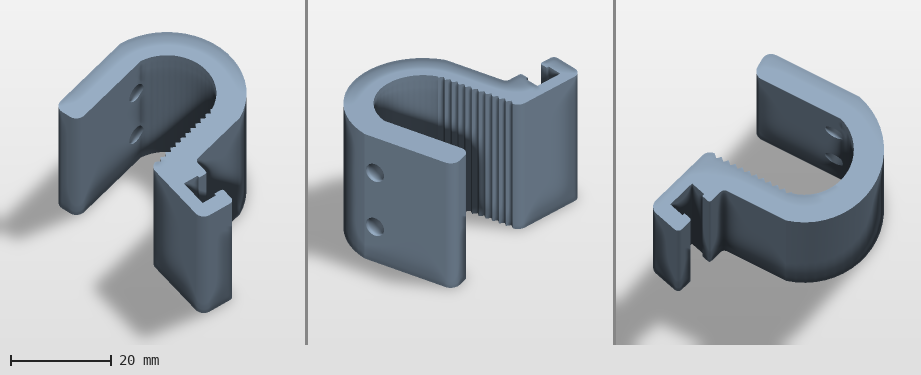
import cadquery as cq
import math

height = 30.0
wall = 6.0
bend_radius = 15.8
leg_outer_x = 15.23
leg_inner_x = leg_outer_x - wall
bore_radius = bend_radius - wall
leg_bottom_y = -16.72
large_fillet = 2.0

tooth_pitch = 1.6
tooth_depth = tooth_pitch / 2
tooth_gaps = 11
first_tip_y = 2.2

foot_tilt = 15.0
foot_length = 17.02
foot_height = 8.05
slot_start = 7.45
slot_width = 6.25
slot_floor = 2.7
lip_overhang = 0.55
lip_underside = 6.05
outer_lip_fillet = 1.03
mouth_fillet = 0.5
neck_fillet = 1.03

hole_diameter = 4.2
hole_spacing = 13.0
hole_y = 1.7


def foot_point(along, up):
    """Convert a position in the tilted foot to X, Y."""
    angle = math.radians(foot_tilt)
    x = leg_inner_x + along * math.cos(angle) + up * math.sin(angle)
    y = leg_bottom_y - along * math.sin(angle) + up * math.cos(angle)
    return x, y


def circle_y(radius, x):
    return math.sqrt(radius**2 - x**2)


def neck_point():
    """Corner where the top of the foot meets the outside of the right leg."""
    angle = math.radians(foot_tilt)
    along = (leg_outer_x - leg_inner_x - foot_height * math.sin(angle)) / math.cos(angle)
    return foot_point(along, foot_height)


def fillet_at(body, point, radius):
    """Round the vertical edge standing at the given X, Y point."""
    nearest = cq.selectors.NearestToPointSelector((*point, height / 2))
    return body.edges("|Z").edges(nearest).fillet(radius)


def make_hook():
    outer_y = circle_y(bend_radius, leg_outer_x)
    inner_y = circle_y(bore_radius, leg_inner_x)
    hook = (
        cq.Workplane("XY")
        .moveTo(-leg_outer_x, leg_bottom_y)
        .lineTo(-leg_outer_x, outer_y)
        .threePointArc((0, bend_radius), (leg_outer_x, outer_y))
        .lineTo(*neck_point())
        .lineTo(*foot_point(0, 0))
        .lineTo(leg_inner_x, inner_y)
        .threePointArc((0, bore_radius), (-leg_inner_x, inner_y))
        .lineTo(-leg_inner_x, leg_bottom_y)
        .close()
        .extrude(height)
    )
    bore_end = cq.Workplane("XY").circle(bore_radius).extrude(height)
    clearance = (
        cq.Workplane("XY")
        .moveTo(0, first_tip_y)
        .lineTo(leg_inner_x, first_tip_y)
        .lineTo(leg_inner_x + wall, first_tip_y + wall)
        .lineTo(0, first_tip_y + wall)
        .close()
        .extrude(height)
    )
    return hook.cut(bore_end.intersect(clearance))


def make_foot():
    slot_end = slot_start + slot_width
    outline = [
        (0, 0),
        (foot_length, 0),
        (foot_length, foot_height),
        (slot_end - lip_overhang, foot_height),
        (slot_end - lip_overhang, lip_underside),
        (slot_end, lip_underside),
        (slot_end, slot_floor),
        (slot_start, slot_floor),
        (slot_start, lip_underside),
        (slot_start + lip_overhang, lip_underside),
        (slot_start + lip_overhang, foot_height),
    ]
    points = [foot_point(*point) for point in outline]
    return cq.Workplane("XY").polyline(points + [neck_point()]).close().extrude(height)


def round_corners(body):
    slot_end = slot_start + slot_width
    corners = [
        ((-leg_outer_x, leg_bottom_y), large_fillet),
        ((-leg_inner_x, leg_bottom_y), large_fillet),
        (foot_point(0, 0), large_fillet),
        (foot_point(foot_length, 0), large_fillet),
        (foot_point(foot_length, foot_height), outer_lip_fillet),
        (foot_point(slot_end - lip_overhang, foot_height), mouth_fillet),
        (foot_point(slot_start + lip_overhang, foot_height), mouth_fillet),
        (neck_point(), neck_fillet),
    ]
    for point, radius in corners:
        body = fillet_at(body, point, radius)
    return body


def cut_teeth(body):
    for index in range(tooth_gaps):
        top_y = first_tip_y - index * tooth_pitch
        notch = (
            cq.Workplane("XY")
            .moveTo(leg_inner_x, top_y)
            .lineTo(leg_inner_x + tooth_depth, top_y - tooth_pitch / 2)
            .lineTo(leg_inner_x, top_y - tooth_pitch)
            .close()
            .extrude(height)
        )
        body = body.cut(notch)
    return body


def cut_screw_holes(body):
    for side in (-1, 1):
        hole_z = height / 2 + side * hole_spacing / 2
        hole = (
            cq.Workplane("YZ", origin=(-leg_outer_x, hole_y, hole_z))
            .circle(hole_diameter / 2)
            .extrude(leg_outer_x)
        )
        body = body.cut(hole)
    return body


clamp = make_hook().union(make_foot()).clean()
clamp = round_corners(clamp)
clamp = cut_teeth(clamp)
result = cut_screw_holes(clamp)